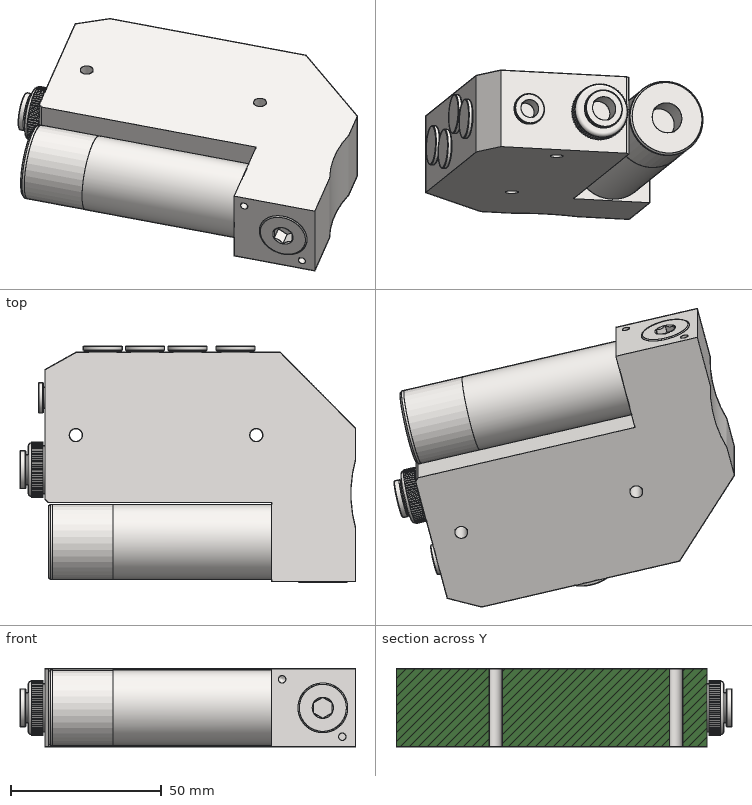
import cadquery as cq
import math


block_length = 103.2
block_depth = 76.2
block_height = 26.0
notch_length = 75.3
notch_depth = 26.2
notch_edge_chamfer = 1.1
left_corner_x = 10.4
left_corner_y = 70.4
right_corner_x = 78.1
right_corner_y = 50.9
scallop_start_y = 17.7
scallop_end_y = 40.6
scallop_depth = 1.6

mounting_hole_diameter = 4.2
mounting_hole_y = 48.6
mounting_hole_xs = (10.3, 70.2)

handle_diameter = 25.0
handle_y = 13.2
handle_start_x = 1.1
handle_chamfer_length = 0.7
handle_chamfer_depth = 0.6
handle_bore_diameter = 10.2
grip_start_x = 2.6
grip_end_x = 22.5
grip_facets = 36
grip_phase = 3.0

rim_chamfer = 0.2
rim_undercut = 0.3

small_connector_y = 61.0
small_height = 2.1
small_diameter = 10.2
small_rim_length = 1.7
small_neck_diameter = 7.0
small_bore_diameter = 6.0

large_connector_y = 37.1
ring_front = 5.6
ring_back = 0.7
ring_diameter = 18.3
ring_round = 1.1
ring_grooves = 64
ring_groove_depth = 0.2
ring_neck_diameter = 16.1
large_height = 2.8
large_diameter = 12.6
large_rim_length = 2.1
large_neck_diameter = 10.0
large_bore_diameter = 7.9

cap_centres = ((19.2, 0), (33.2, 4.5), (47.3, -4.5), (63.2, 0))
cap_height = 2.0
cap_diameter = 13.0
cap_rim_length = 1.6
cap_neck_diameter = 9.4

plug_x = 92.3
plug_diameter = 16.5
plug_face_diameter = 15.6
plug_height = 0.3
socket_width = 6.0
socket_mouth_diameter = 7.0
socket_depth = 5.0

pin_hole_diameter = 2.5
pin_hole_depth = 3.3
pin_cone_depth = 0.7
drilled_pin_centre = (78.8, 9.5)
flat_pin_centre = (98.7, -9.6)


def turned(profile):
    """Solid of revolution about X from (position, diameter) corners."""
    points = [(position, diameter / 2) for position, diameter in profile]
    outline = [(points[0][0], 0), *points]
    if points[-1][1] > 0:
        outline.append((points[-1][0], 0))
    return cq.Workplane("XY").polyline(outline).close().revolve(360, (0, 0), (1, 0))


def button(height, diameter, rim_length, neck_diameter):
    """Button with a chamfered, undercut rim on a neck; its foot is on X = 0 and it points toward -X."""
    rim_back = rim_length - height
    return turned([
        (-height, diameter - 2 * rim_chamfer),
        (rim_chamfer - height, diameter),
        (rim_back - rim_undercut, diameter),
        (rim_back, diameter - 2 * rim_undercut),
        (rim_back, neck_diameter),
        (0, neck_diameter),
    ])


def bore_along_x(diameter, start_x, y):
    """Blind bore that is as deep as it is wide."""
    return cq.Workplane("YZ", origin=(start_x, y, 0)).circle(diameter / 2).extrude(diameter)


def make_block():
    scallop_middle = (block_length - scallop_depth, (scallop_start_y + scallop_end_y) / 2)
    base = cq.Workplane("XY", origin=(0, 0, -block_height / 2))
    block = (
        base.moveTo(notch_length, 0)
        .lineTo(block_length, 0)
        .lineTo(block_length, scallop_start_y)
        .threePointArc(scallop_middle, (block_length, scallop_end_y))
        .lineTo(block_length, right_corner_y)
        .lineTo(right_corner_x, block_depth)
        .lineTo(left_corner_x, block_depth)
        .lineTo(0, left_corner_y)
        .lineTo(0, notch_depth + notch_edge_chamfer)
        .lineTo(notch_edge_chamfer, notch_depth)
        .lineTo(notch_length, notch_depth)
        .close()
        .extrude(block_height)
    )
    hole_centres = [(x, mounting_hole_y) for x in mounting_hole_xs]
    holes = base.pushPoints(hole_centres).circle(mounting_hole_diameter / 2).extrude(block_height)
    return block.cut(holes)


def make_handle():
    """Round bar with a chamfered, bored end and a band of flat grip facets."""
    handle = turned([
        (handle_start_x, handle_diameter - 2 * handle_chamfer_depth),
        (handle_start_x + handle_chamfer_length, handle_diameter),
        (notch_length, handle_diameter),
    ])
    grip_plane = cq.Workplane("YZ", origin=(grip_start_x, 0, 0))
    grip_length = grip_end_x - grip_start_x
    band = grip_plane.circle(handle_diameter).extrude(grip_length)
    facets = grip_plane.polygon(grip_facets, handle_diameter).extrude(grip_length)
    facets = facets.rotate((0, 0, 0), (1, 0, 0), grip_phase)
    handle = handle.cut(band.cut(facets)).translate((0, handle_y, 0))
    return handle.cut(bore_along_x(handle_bore_diameter, handle_start_x, handle_y))


def make_small_connector():
    body = button(small_height, small_diameter, small_rim_length, small_neck_diameter)
    return body.translate((0, small_connector_y, 0))


def make_knurled_ring():
    """Ring with V grooves along its rim and a rounded front."""
    tip_radius = ring_diameter / 2
    root_radius = tip_radius - ring_groove_depth
    half_step = math.pi / ring_grooves
    outline = []
    for i in range(2 * ring_grooves):
        radius = root_radius if i % 2 else tip_radius
        outline.append((radius * math.cos(i * half_step), radius * math.sin(i * half_step)))
    knurl_front = ring_front - ring_round
    knurl_plane = cq.Workplane("YZ", origin=(-knurl_front, 0, 0))
    knurl = knurl_plane.polyline(outline).close().extrude(knurl_front - ring_back)
    core_plane = cq.Workplane("YZ", origin=(-ring_front, 0, 0))
    core = core_plane.circle(root_radius).extrude(ring_front - ring_back)
    return knurl.union(core.faces("<X").edges().fillet(ring_round))


def make_large_connector():
    knob = button(large_height, large_diameter, large_rim_length, large_neck_diameter)
    neck = turned([(-ring_back, ring_neck_diameter), (0, ring_neck_diameter)])
    connector = make_knurled_ring().union(neck).union(knob.translate((-ring_front, 0, 0)))
    return connector.translate((0, large_connector_y, 0))


def make_cap(x, z):
    cap = button(cap_height, cap_diameter, cap_rim_length, cap_neck_diameter)
    return cap.rotate((0, 0, 0), (0, 0, 1), -90).translate((x, block_depth, z))


def along_y(profile, x, z):
    """Solid of revolution about a line along Y from (Y, diameter) corners."""
    return turned(profile).rotate((0, 0, 0), (0, 0, 1), 90).translate((x, 0, z))


def make_plug():
    return along_y([(-plug_height, plug_face_diameter), (0, plug_diameter)], plug_x, 0)


def make_socket():
    """Hexagonal recess, flats facing +X and -X, with a countersunk mouth."""
    corner_diameter = socket_width / math.cos(math.pi / 6)
    plane = cq.Plane(origin=(plug_x, -plug_height, 0), xDir=(0, 0, 1), normal=(0, 1, 0))
    hexagon = cq.Workplane(plane).polygon(6, corner_diameter).extrude(socket_depth)
    mouth_depth = (socket_mouth_diameter - socket_width) / 2
    mouth_profile = [(-plug_height, socket_mouth_diameter), (mouth_depth - plug_height, socket_width)]
    return hexagon.union(along_y(mouth_profile, plug_x, 0))


def make_pin_holes():
    flat_profile = [(0, pin_hole_diameter), (pin_hole_depth, pin_hole_diameter)]
    drilled_profile = [*flat_profile, (pin_hole_depth + pin_cone_depth, 0)]
    flat_hole = along_y(flat_profile, *flat_pin_centre)
    return flat_hole.union(along_y(drilled_profile, *drilled_pin_centre))


result = make_block().union(make_handle()).union(make_small_connector()).union(make_large_connector())
result = result.cut(bore_along_x(small_bore_diameter, -small_height, small_connector_y))
result = result.cut(bore_along_x(large_bore_diameter, -ring_front - large_height, large_connector_y))
for cap_x, cap_z in cap_centres:
    result = result.union(make_cap(cap_x, cap_z))
result = result.union(make_plug()).cut(make_socket()).cut(make_pin_holes())